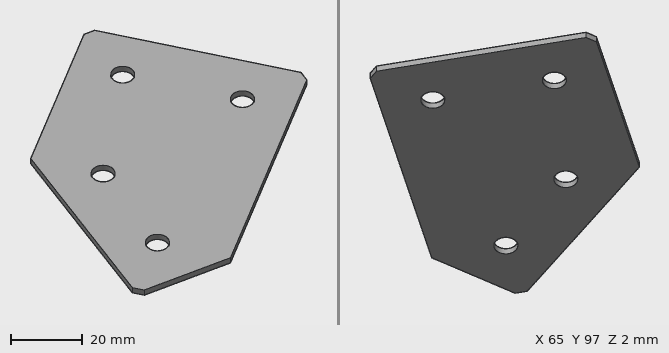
import cadquery as cq

width = 65.0
length = 97.0
thickness = 2.0

top_chamfer = 2.4
left_cut = 42.1
right_cut = 19.4

hole_diameter = 6.7
hole_inset = 15.0
slant_hole_x = 21.15
slant_hole_y = 42.0
slant_hole_step = 22.5

outline = [
    (left_cut, 0),
    (width - right_cut, 0),
    (width, right_cut),
    (width, length - top_chamfer),
    (width - top_chamfer, length),
    (top_chamfer, length),
    (0, length - top_chamfer),
    (0, left_cut),
]
plate = cq.Workplane("XY").polyline(outline).close().extrude(thickness)

hole_centres = [
    (hole_inset, length - hole_inset),
    (width - hole_inset, length - hole_inset),
    (slant_hole_x, slant_hole_y),
    (slant_hole_x + slant_hole_step, slant_hole_y - slant_hole_step),
]
holes = cq.Workplane("XY").pushPoints(hole_centres).circle(hole_diameter / 2).extrude(thickness)

result = plate.cut(holes)